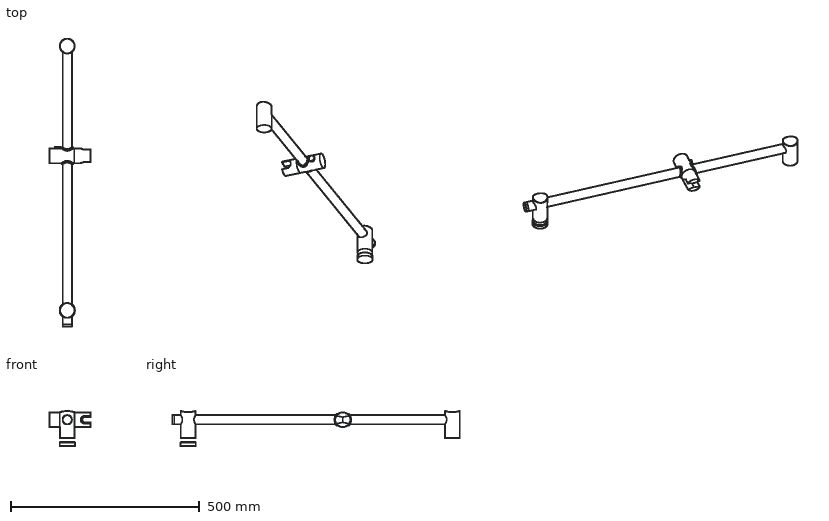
import cadquery as cq

OVERALL_LENGTH = 762.5

POST_DIAMETER = 40.0
POST_RADIUS = POST_DIAMETER / 2
POST_TOP = 24.0
POST_BOTTOM = -49.0
SADDLE_DEPTH = 3.0
SADDLE_RADIUS = (POST_RADIUS**2 + SADDLE_DEPTH**2) / (2 * SADDLE_DEPTH)
POST_TOP_CHAMFER = 1.0
POST_SPACING = 700.0
UPPER_POST_Y = OVERALL_LENGTH / 2 - POST_RADIUS
LOWER_POST_Y = UPPER_POST_Y - POST_SPACING

RAIL_DIAMETER = 25.0
PLUG_LENGTH = 6.0
PLUG_CHAMFER = 1.0
RAIL_START_Y = -OVERALL_LENGTH / 2 + PLUG_LENGTH

RING_DIAMETER = 41.0
RING_BOTTOM = -70.0
RING_HEIGHT = 11.5
RING_CHAMFER = 2.0

SLIDER_DIAMETER = 40.0
SLIDER_RADIUS = SLIDER_DIAMETER / 2
SLIDER_LENGTH = 109.0
SLIDER_LEFT = -47.0
SLIDER_RIGHT = SLIDER_LEFT + SLIDER_LENGTH
SLIDER_Y = 71.0
CLAMP_END = 19.0

SLOT_CENTER_X = 46.5
SLOT_THROAT_WIDTH = 14.0
SLOT_MOUTH_WIDTH = 22.0

BUSHING_DIAMETER = 30.5
BUSHING_RIM_HEIGHT = 2.0
BUSHING_RADIUS_ABOUT_SLIDER = SLIDER_RADIUS + BUSHING_RIM_HEIGHT

BUTTON_DIAMETER = 16.0
BUTTON_X = -25.0
BUTTON_PROTRUSION = 4.0
BUTTON_DEPTH = 8.0


def cylinder_along_y(diameter, start_y, length, x=0.0):
    """Cylinder on the rail's height, running from start_y towards +Y."""
    plane = cq.Plane(origin=(x, start_y, 0), xDir=(1, 0, 0), normal=(0, 1, 0))
    return cq.Workplane(plane).circle(diameter / 2).extrude(length)


def cylinder_along_x(radius, start_x, end_x):
    """Cylinder on the slider's axis, from start_x to end_x."""
    plane = cq.Plane(origin=(start_x, SLIDER_Y, 0), xDir=(0, 1, 0), normal=(1, 0, 0))
    return cq.Workplane(plane).circle(radius).extrude(end_x - start_x)


def make_rail():
    return cylinder_along_y(RAIL_DIAMETER, RAIL_START_Y, UPPER_POST_Y - RAIL_START_Y)


def make_end_plug():
    plug = cylinder_along_y(RAIL_DIAMETER, -OVERALL_LENGTH / 2, PLUG_LENGTH)
    return plug.faces("<Y").chamfer(PLUG_CHAMFER)


def make_post(center_y, rail):
    """Upright post with a saddle-shaped top, bored to take the rail."""
    post = (
        cq.Workplane("XY", origin=(0, center_y, POST_BOTTOM))
        .circle(POST_RADIUS)
        .extrude(POST_TOP - POST_BOTTOM)
    )
    saddle = (
        cq.Workplane("YZ", origin=(0, center_y, POST_TOP - SADDLE_DEPTH + SADDLE_RADIUS))
        .circle(SADDLE_RADIUS)
        .extrude(POST_RADIUS, both=True)
    )
    return post.cut(saddle).faces(">Z").edges().chamfer(POST_TOP_CHAMFER).cut(rail)


def make_wall_ring():
    ring = (
        cq.Workplane("XY", origin=(0, LOWER_POST_Y, RING_BOTTOM))
        .circle(RING_DIAMETER / 2)
        .extrude(RING_HEIGHT)
    )
    return ring.faces(">Z").chamfer(RING_CHAMFER)


def bushing_blank():
    """Solid bushing whose two ends follow the curve of the clamp body."""
    half_length = BUSHING_RADIUS_ABOUT_SLIDER
    blank = cylinder_along_y(BUSHING_DIAMETER, SLIDER_Y - half_length, 2 * half_length)
    ends = cylinder_along_x(BUSHING_RADIUS_ABOUT_SLIDER, -BUSHING_DIAMETER, BUSHING_DIAMETER)
    return blank.intersect(ends)


def make_bushing(rail):
    return bushing_blank().cut(rail)


def make_button():
    start_y = SLIDER_Y + SLIDER_RADIUS - BUTTON_DEPTH
    return cylinder_along_y(BUTTON_DIAMETER, start_y, BUTTON_DEPTH + BUTTON_PROTRUSION, BUTTON_X)


def make_clamp_body(button):
    """Slider body with a through bore for the bushing and a recess for the button."""
    body = cylinder_along_x(SLIDER_RADIUS, SLIDER_LEFT, CLAMP_END)
    return body.cut(bushing_blank()).cut(button)


def slot_profile(workplane, width):
    """Slot outline: round at its inner end, straight out past the +X end of the slider."""
    half = width / 2
    end = SLIDER_RIGHT - SLOT_CENTER_X + half
    return (
        workplane.moveTo(end, half)
        .lineTo(0, half)
        .threePointArc((-half, 0), (0, -half))
        .lineTo(end, -half)
        .close()
    )


def make_holder():
    """Slider end with the fork slot, which flares from a middle throat to both mouths."""
    holder = cylinder_along_x(SLIDER_RADIUS, CLAMP_END, SLIDER_RIGHT)
    throat_plane = cq.Workplane("XZ", origin=(SLOT_CENTER_X, SLIDER_Y, 0))
    for mouth_offset in (-SLIDER_RADIUS, SLIDER_RADIUS):
        throat = slot_profile(throat_plane, SLOT_THROAT_WIDTH)
        mouth_plane = throat.workplane(offset=mouth_offset)
        flare = slot_profile(mouth_plane, SLOT_MOUTH_WIDTH).loft(ruled=True)
        holder = holder.cut(flare)
    return holder


rail = make_rail()
end_plug = make_end_plug()
posts = [make_post(center_y, rail) for center_y in (UPPER_POST_Y, LOWER_POST_Y)]
wall_ring = make_wall_ring()
bushing = make_bushing(rail)
button = make_button()
clamp_body = make_clamp_body(button)
holder = make_holder()

result = cq.Compound.makeCompound(
    [
        rail.val(),
        end_plug.val(),
        *[post.val() for post in posts],
        wall_ring.val(),
        bushing.val(),
        button.val(),
        clamp_body.val(),
        holder.val(),
    ]
)